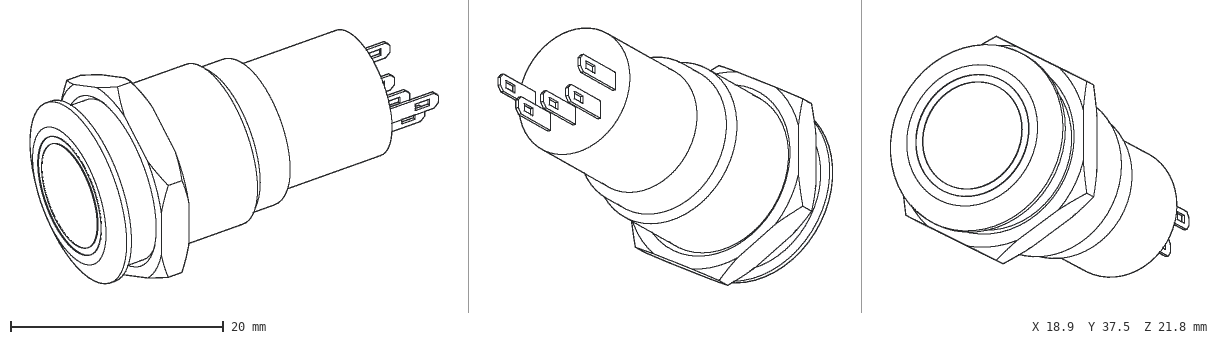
import cadquery as cq
import math


BEZEL_RADIUS = 9.0
FRONT_FACE_RADIUS = 6.82
BARREL_RADIUS = 8.0
COLLAR_RADIUS = 7.28
REAR_RADIUS = 6.25
BEZEL_RIM_Y = 0.98
BEZEL_BACK_Y = 1.5
BARREL_END_Y = 16.55
COLLAR_END_Y = 20.02
REAR_END_Y = 31.5
BARREL_CHAMFER = BARREL_RADIUS - COLLAR_RADIUS
COLLAR_FILLET = 0.52
GROOVE_OUTER_RADIUS = 5.9
GROOVE_INNER_RADIUS = 5.18
GROOVE_DEPTH = 0.1

NUT_ACROSS_FLATS = 18.85
NUT_FRONT_Y = 4.5
NUT_THICKNESS = 3.0
BORE_CHAMFER = 0.5
NUT_FACE_RADIUS = 9.75
NUT_CHAMFER_LENGTH = 0.75
NUT_CORNER_RADIUS = NUT_ACROSS_FLATS / math.sqrt(3)

PIN_THICKNESS = 0.3
PIN_WIDTH = 1.75
PIN_TIP_CHAMFER = 0.5
SLOT_HEIGHT = 0.75
LONG_PIN_X = 4.5
LONG_PIN_Z = 0.0
LONG_PIN_TIP_Y = 37.5
LONG_SLOT_LENGTH = 1.55
LONG_SLOT_SETBACK = 0.98
SHORT_PIN_X = 2.8
SHORT_PIN_Z = -2.5
SHORT_PIN_TIP_Y = 37.0
SHORT_SLOT_LENGTH = 1.42
SHORT_SLOT_SETBACK = 1.1


def cylinder_along_y(radius, start_y, length):
    """Solid cylinder about the Y axis, from start_y towards the rear."""
    return cq.Workplane("XZ", origin=(0, start_y, 0)).circle(radius).extrude(-length)


def revolve_about_y(profile):
    """Full revolution about Y of a closed profile of (radius, y) points."""
    return cq.Workplane("XY").polyline(profile).close().revolve(360, (0, 0, 0), (0, 1, 0))


def make_housing():
    """Stepped round body with a conical bezel and a ring groove in its front face."""
    profile = [
        (0, 0),
        (FRONT_FACE_RADIUS, 0),
        (BEZEL_RADIUS, BEZEL_RIM_Y),
        (BEZEL_RADIUS, BEZEL_BACK_Y),
        (BARREL_RADIUS, BEZEL_BACK_Y),
        (BARREL_RADIUS, BARREL_END_Y - BARREL_CHAMFER),
        (COLLAR_RADIUS, BARREL_END_Y),
        (COLLAR_RADIUS, COLLAR_END_Y - COLLAR_FILLET),
    ]
    fillet_offset = COLLAR_FILLET * math.sqrt(0.5)
    fillet_middle = (
        COLLAR_RADIUS - COLLAR_FILLET + fillet_offset,
        COLLAR_END_Y - COLLAR_FILLET + fillet_offset,
    )
    body = (
        cq.Workplane("XY")
        .polyline(profile)
        .threePointArc(fillet_middle, (COLLAR_RADIUS - COLLAR_FILLET, COLLAR_END_Y))
        .lineTo(REAR_RADIUS, COLLAR_END_Y)
        .lineTo(REAR_RADIUS, REAR_END_Y)
        .lineTo(0, REAR_END_Y)
        .close()
        .revolve(360, (0, 0, 0), (0, 1, 0))
    )
    groove = cylinder_along_y(GROOVE_OUTER_RADIUS, 0, GROOVE_DEPTH).cut(
        cylinder_along_y(GROOVE_INNER_RADIUS, 0, GROOVE_DEPTH)
    )
    return body.cut(groove)


def make_nut():
    """Hexagon nut with corners up and down, coned corners and a chamfered bore that fits the barrel."""
    back_y = NUT_FRONT_Y + NUT_THICKNESS
    hexagon = (
        cq.Workplane("XZ", origin=(0, NUT_FRONT_Y, 0))
        .transformed(rotate=(0, 0, 90))
        .polygon(6, 2 * NUT_CORNER_RADIUS)
        .extrude(-NUT_THICKNESS)
    )
    corner_cones = revolve_about_y([
        (0, NUT_FRONT_Y),
        (NUT_FACE_RADIUS, NUT_FRONT_Y),
        (NUT_CORNER_RADIUS, NUT_FRONT_Y + NUT_CHAMFER_LENGTH),
        (NUT_CORNER_RADIUS, back_y - NUT_CHAMFER_LENGTH),
        (NUT_FACE_RADIUS, back_y),
        (0, back_y),
    ])
    bore_mouth_radius = BARREL_RADIUS + BORE_CHAMFER
    bore = revolve_about_y([
        (0, NUT_FRONT_Y),
        (bore_mouth_radius, NUT_FRONT_Y),
        (BARREL_RADIUS, NUT_FRONT_Y + BORE_CHAMFER),
        (BARREL_RADIUS, back_y - BORE_CHAMFER),
        (bore_mouth_radius, back_y),
        (0, back_y),
    ])
    return hexagon.intersect(corner_cones).cut(bore)


def make_pin(x, z, tip_y, slot_length, slot_setback):
    """Flat blade from the rear face to tip_y, with a chamfered tip and a through slot."""
    length = tip_y - REAR_END_Y
    blade = (
        cq.Workplane("XY")
        .box(PIN_THICKNESS, length, PIN_WIDTH)
        .edges("|X and >Y")
        .chamfer(PIN_TIP_CHAMFER)
        .translate((x, tip_y - length / 2, z))
    )
    slot = (
        cq.Workplane("XY")
        .box(PIN_THICKNESS, slot_length, SLOT_HEIGHT)
        .translate((x, tip_y - slot_setback - slot_length / 2, z))
    )
    return blade.cut(slot)


housing = make_housing()
nut = make_nut()
long_pins = [
    make_pin(x, LONG_PIN_Z, LONG_PIN_TIP_Y, LONG_SLOT_LENGTH, LONG_SLOT_SETBACK)
    for x in (-LONG_PIN_X, LONG_PIN_X)
]
short_pins = [
    make_pin(x, SHORT_PIN_Z, SHORT_PIN_TIP_Y, SHORT_SLOT_LENGTH, SHORT_SLOT_SETBACK)
    for x in (-SHORT_PIN_X, 0, SHORT_PIN_X)
]

result = cq.Compound.makeCompound(
    [housing.val(), nut.val(), *[pin.val() for pin in long_pins + short_pins]]
)